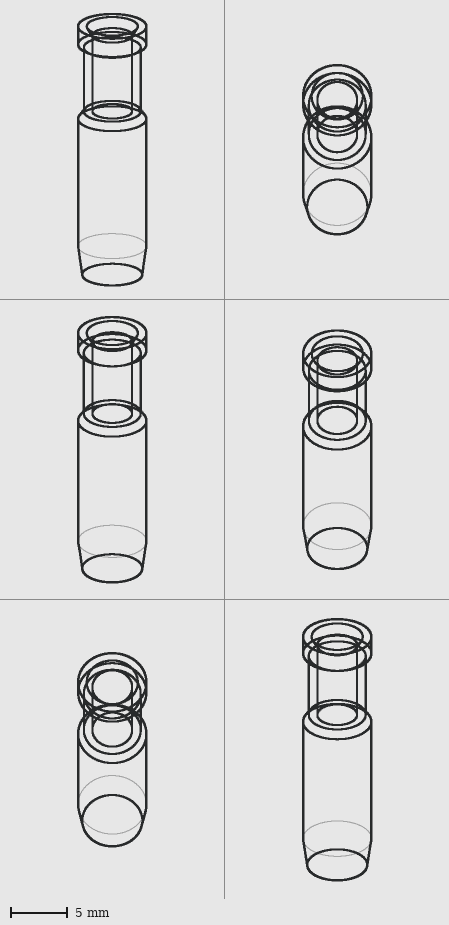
import cadquery as cq
import math

length = 23.4
body_diameter = 6.0

flange_height = 1.7
flange_bevel_height = 0.28

neck_diameter = 5.0
shoulder_top_depth = 8.0
shoulder_height = 0.7

tip_diameter = 5.29
tip_height = 2.7

bore_diameter = 3.5
lead_in_diameter = 4.5
lead_in_angle = 60.0
bore_depth = shoulder_top_depth

body_radius = body_diameter / 2
neck_radius = neck_diameter / 2
tip_radius = tip_diameter / 2
bore_radius = bore_diameter / 2
lead_in_radius = lead_in_diameter / 2

flange_bottom = length - flange_height
neck_top = flange_bottom - flange_bevel_height
neck_bottom = length - shoulder_top_depth
shoulder_bottom = neck_bottom - shoulder_height
bore_floor = length - bore_depth
lead_in_depth = (lead_in_radius - bore_radius) / math.tan(math.radians(lead_in_angle / 2))


def revolve_profile(points):
    """Turn a closed (radius, height) profile around the Z axis."""
    return cq.Workplane("XZ").polyline(points).close().revolve(360, (0, 0, 0), (0, 1, 0))


pin = revolve_profile([
    (0, 0),
    (tip_radius, 0),
    (body_radius, tip_height),
    (body_radius, shoulder_bottom),
    (neck_radius, neck_bottom),
    (neck_radius, neck_top),
    (body_radius, flange_bottom),
    (body_radius, length),
    (0, length),
])

bore = revolve_profile([
    (0, bore_floor),
    (bore_radius, bore_floor),
    (bore_radius, length - lead_in_depth),
    (lead_in_radius, length),
    (0, length),
])

result = pin.cut(bore)